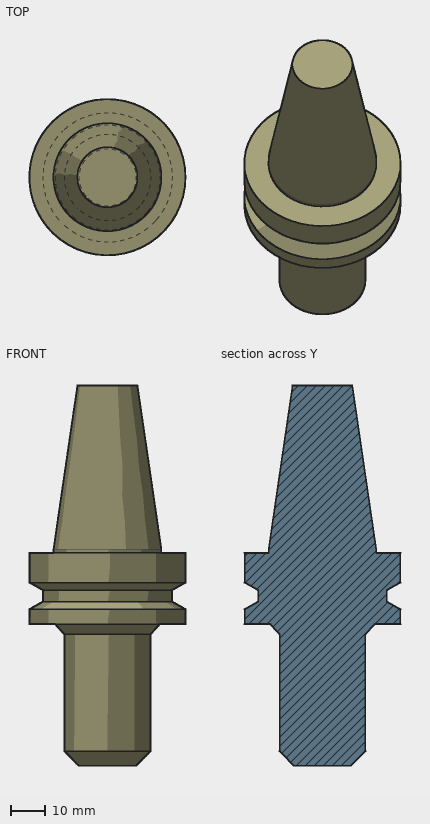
import cadquery as cq

total_length = 111.9
flange_diameter = 46.0
groove_diameter = 38.0
taper_large_diameter = 31.8
taper_small_diameter = 17.7
collar_diameter = 30.9
nose_diameter = 25.4
nose_tip_diameter = 16.8

tip_chamfer_height = 4.4
collar_bottom = 38.7
flange_bottom = 41.7
lower_rim_height = 4.4
groove_side_height = 2.2
groove_floor_height = 3.4
flange_top = 62.7
taper_land_height = 1.0

lower_rim_top = flange_bottom + lower_rim_height
groove_floor_bottom = lower_rim_top + groove_side_height
groove_floor_top = groove_floor_bottom + groove_floor_height
upper_rim_bottom = groove_floor_top + groove_side_height
taper_bottom = flange_top + taper_land_height

section = [
    (nose_tip_diameter, 0),
    (nose_diameter, tip_chamfer_height),
    (nose_diameter, collar_bottom),
    (collar_diameter, flange_bottom),
    (flange_diameter, flange_bottom),
    (flange_diameter, lower_rim_top),
    (groove_diameter, groove_floor_bottom),
    (groove_diameter, groove_floor_top),
    (flange_diameter, upper_rim_bottom),
    (flange_diameter, flange_top),
    (taper_large_diameter, flange_top),
    (taper_large_diameter, taper_bottom),
    (taper_small_diameter, total_length),
]
half_profile = [(diameter / 2, height) for diameter, height in section]

result = (
    cq.Workplane("XZ")
    .moveTo(0, 0)
    .polyline(half_profile, includeCurrent=True)
    .lineTo(0, total_length)
    .close()
    .revolve(360, (0, 0, 0), (0, 1, 0))
)